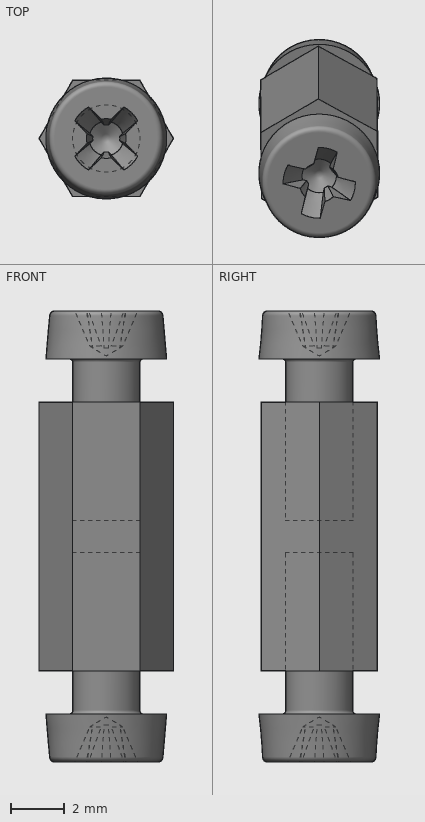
import cadquery as cq
import math

total_length = 16.8
standoff_length = 10.0
hex_across_corners = 5.0

head_diameter = 4.5
head_height = 1.8
head_taper = 4.9
head_edge_radius = 0.2
shank_diameter = 2.5
neck_diameter = 2.75
engagement = 4.4

recess_depth = 1.68
arm_depth = 1.31
arm_tip_radius = 1.35
arm_floor_radius = 0.64
arm_tip_width = 0.7
arm_middle_width = 0.79
arm_draft = 3.5
core_top_radius = 0.74
core_bottom_radius = 0.5
bar_overshoot = 0.34

standoff_end = standoff_length / 2
driving_face = total_length / 2
bearing_face = driving_face - head_height
shank_end = standoff_end - engagement
head_face_diameter = head_diameter - 2 * head_height * math.tan(math.radians(head_taper))
neck_fillet = (neck_diameter - shank_diameter) / 2


def cone_on_axis(bottom_z, bottom_radius, top_z, top_radius, point_z):
    """Truncated cone around Z that closes to a point at point_z below it."""
    return (
        cq.Workplane("XZ")
        .moveTo(0, point_z)
        .lineTo(bottom_radius, bottom_z)
        .lineTo(top_radius, top_z)
        .lineTo(0, top_z)
        .close()
        .revolve(360, (0, 0), (0, 1))
    )


def make_cross_recess():
    """Tapered core with four drafted arms, all closing on one conical bottom."""
    point = driving_face - recess_depth
    arm_bottom = driving_face - arm_depth
    core_bottom = point + (arm_bottom - point) * core_bottom_radius / arm_floor_radius
    recess = cone_on_axis(core_bottom, core_bottom_radius, driving_face, core_top_radius, point)
    arm_envelope = cone_on_axis(arm_bottom, arm_floor_radius, driving_face, arm_tip_radius, point)
    bar_reach = arm_tip_radius + bar_overshoot
    bar = (
        cq.Workplane("XY", origin=(0, 0, driving_face))
        .polyline([
            (-bar_reach, -arm_tip_width / 2),
            (0, -arm_middle_width / 2),
            (bar_reach, -arm_tip_width / 2),
            (bar_reach, arm_tip_width / 2),
            (0, arm_middle_width / 2),
            (-bar_reach, arm_tip_width / 2),
        ])
        .close()
        .extrude(-recess_depth, taper=arm_draft)
    )
    for angle in (45, 135):
        turned_bar = bar.rotate((0, 0, 0), (0, 0, 1), angle)
        recess = recess.union(arm_envelope.intersect(turned_bar))
    return recess


def make_screw():
    """Upper screw: tapered round head, filleted neck, shank and cross recess."""
    shank_radius = shank_diameter / 2
    neck_middle = neck_fillet * (1 - math.sqrt(0.5))
    screw = (
        cq.Workplane("XZ")
        .moveTo(0, shank_end)
        .lineTo(shank_radius, shank_end)
        .lineTo(shank_radius, bearing_face - neck_fillet)
        .threePointArc(
            (shank_radius + neck_middle, bearing_face - neck_middle),
            (neck_diameter / 2, bearing_face),
        )
        .lineTo(head_diameter / 2, bearing_face)
        .lineTo(head_face_diameter / 2, driving_face)
        .lineTo(0, driving_face)
        .close()
        .revolve(360, (0, 0), (0, 1))
        .faces(">Z")
        .edges()
        .fillet(head_edge_radius)
    )
    return screw.cut(make_cross_recess())


def make_standoff():
    """Hexagonal spacer with a blind hole in each end that fits the screw shank."""
    body = (
        cq.Workplane("XY", origin=(0, 0, -standoff_end))
        .polygon(6, hex_across_corners)
        .extrude(standoff_length)
    )
    for end in (">Z", "<Z"):
        body = body.faces(end).workplane(origin=(0, 0, 0)).hole(shank_diameter, engagement)
    return body


standoff = make_standoff()
upper_screw = make_screw()
lower_screw = upper_screw.mirror("XY")

result = cq.Compound.makeCompound([standoff.val(), upper_screw.val(), lower_screw.val()])